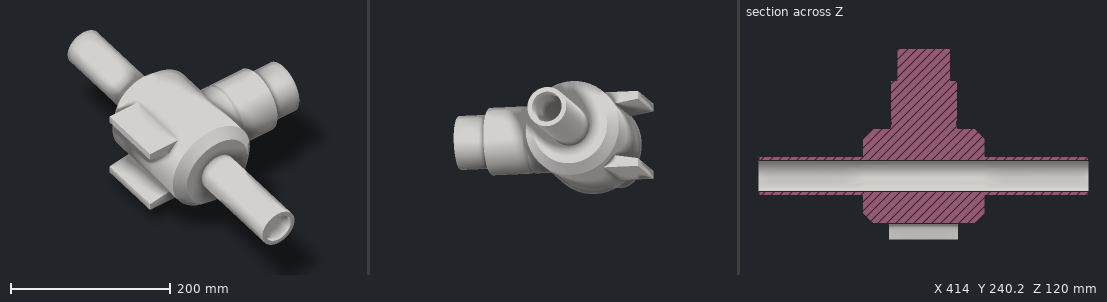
import cadquery as cq

pipe_length = 414.0
pipe_diameter = 50.0
bore_diameter = 38.0

body_length = 154.0
body_diameter = 120.0
body_chamfer_length = 13.0
body_chamfer_height = 12.5

nozzle_diameter = 85.0
nozzle_shoulder = 120.0
spigot_diameter = 68.0
spigot_end = 160.2
nozzle_edge_chamfer = 1.2

groove_start = 63.5
groove_end = 69.0
groove_wall_run = 1.5
groove_depth = 1.2

joint_fillet = 1.2

foot_width = 86.0
foot_end = 80.0
foot_outer_height = 48.0
foot_tip_thickness = 10.0
foot_root = 33.0
foot_taper_rise = 8.0


def cylinder_x(diameter, length):
    """Cylinder on the X axis, centred on the origin."""
    return cq.Workplane("YZ").circle(diameter / 2).extrude(length / 2, both=True)


def cylinder_y(diameter, start, end):
    """Cylinder on the Y axis between two Y positions."""
    return cq.Workplane("XZ", origin=(0, start, 0)).circle(diameter / 2).extrude(start - end)


def make_body():
    """Barrel revolved around the X axis, with both ends bevelled."""
    half_length = body_length / 2
    radius = body_diameter / 2
    end_radius = radius - body_chamfer_height
    straight_half_length = half_length - body_chamfer_length
    return (
        cq.Workplane("XY")
        .moveTo(-half_length, 0)
        .lineTo(-half_length, end_radius)
        .lineTo(-straight_half_length, radius)
        .lineTo(straight_half_length, radius)
        .lineTo(half_length, end_radius)
        .lineTo(half_length, 0)
        .close()
        .revolve(360, (0, 0, 0), (1, 0, 0))
    )


def make_groove():
    """Ring with a trapezoidal section, cut from the nozzle surface."""
    radius = nozzle_diameter / 2
    floor_radius = radius - groove_depth
    return (
        cq.Workplane("XY")
        .moveTo(radius, groove_start)
        .lineTo(floor_radius, groove_start + groove_wall_run)
        .lineTo(floor_radius, groove_end - groove_wall_run)
        .lineTo(radius, groove_end)
        .close()
        .revolve(360, (0, 0, 0), (0, 1, 0))
    )


def add_nozzle(body):
    """Join the stepped nozzle to the body, round the joint and cut the groove."""
    nozzle = cylinder_y(nozzle_diameter, 0, nozzle_shoulder).faces(">Y").chamfer(nozzle_edge_chamfer)
    spigot = cylinder_y(spigot_diameter, 0, spigot_end).faces(">Y").chamfer(nozzle_edge_chamfer)
    joint_zone = cq.selectors.BoxSelector(
        (-nozzle_diameter, 0, -nozzle_diameter),
        (nozzle_diameter, groove_start, nozzle_diameter),
        boundingbox=True,
    )
    joined = body.union(nozzle)
    joint_edges = joined.edges(joint_zone).edges("not(%LINE or %CIRCLE)")
    return joint_edges.fillet(joint_fillet).cut(make_groove()).union(spigot)


def make_foot():
    """Upper foot: flat outside, tapered inside, thickest at the body."""
    tip_inner_height = foot_outer_height - foot_tip_thickness
    return (
        cq.Workplane("YZ")
        .moveTo(-foot_end, foot_outer_height)
        .lineTo(-foot_root, foot_outer_height)
        .lineTo(-foot_root, tip_inner_height - foot_taper_rise)
        .lineTo(-foot_end, tip_inner_height)
        .close()
        .extrude(foot_width / 2, both=True)
    )


upper_foot = make_foot()
lower_foot = upper_foot.mirror("XY")

result = (
    cylinder_x(pipe_diameter, pipe_length)
    .union(add_nozzle(make_body()))
    .union(upper_foot)
    .union(lower_foot)
    .cut(cylinder_x(bore_diameter, pipe_length))
)